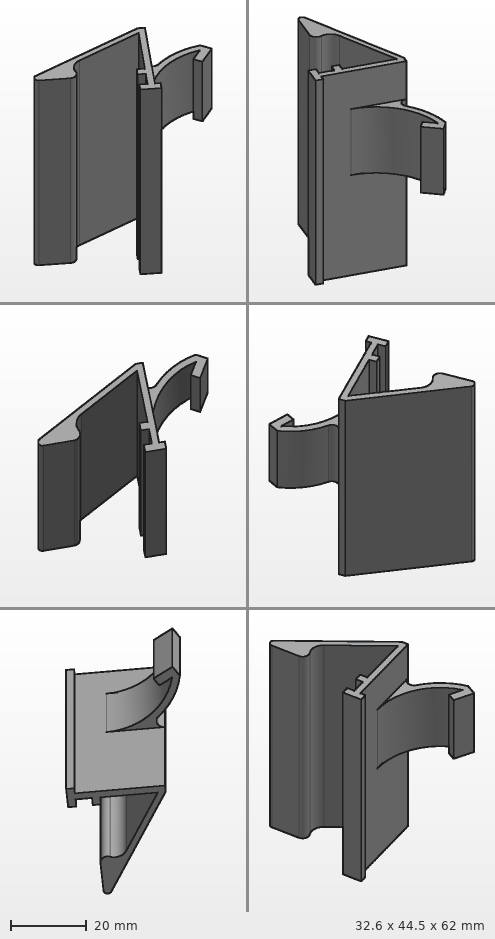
import cadquery as cq
import math

length = 62.0

arm_tilt = math.radians(30.2)
arm_thickness = 1.9
arm_start = -2.05
arm_end = 24.0
rib_start = 15.3
rib_size = 2.2
flange_start = arm_end - rib_size
flange_overhang = 1.55

leg_tilt = math.radians(29)
leg_thickness = 1.75
foot_slope = math.radians(30.5)
foot_neck = 22.7
heel_x = -6.15
heel_y = -23.5
neck_radius = 3.6
heel_radius = 1.9
toe_radius = 1.1

clip_bottom = 30.45
clip_height = 20.0
clip_inner_radius = 19.5
clip_thickness = 2.0
clip_tangent_at = 13.5
clip_root_radius = 1.9
hook_inner_x = 11.8
hook_outer_x = 14.4
hook_top = 15.1
hook_bottom = 9.0


def on_arm(along, outward):
    """Point at a distance down the arm and outward from its inner face."""
    return (
        along * math.sin(arm_tilt) + outward * math.cos(arm_tilt),
        -along * math.cos(arm_tilt) + outward * math.sin(arm_tilt),
    )


def on_leg(along, outward):
    """Point at a distance down the leg and outward from its inner face."""
    return (
        -along * math.sin(leg_tilt) - outward * math.cos(leg_tilt),
        -along * math.cos(leg_tilt) + outward * math.sin(leg_tilt),
    )


def on_circle(center, radius, angle):
    return (center[0] + radius * math.cos(angle), center[1] + radius * math.sin(angle))


def direction(start, end):
    """Angle from one point to another, between 0 and a full turn."""
    return math.atan2(end[1] - start[1], end[0] - start[0]) % math.tau


def arm_block(start, end, inner, outer):
    corners = [on_arm(start, inner), on_arm(end, inner), on_arm(end, outer), on_arm(start, outer)]
    return cq.Workplane("XY").polyline(corners).close().extrude(length)


def make_arm():
    web = arm_block(arm_start, arm_end, 0, arm_thickness)
    rib = arm_block(rib_start, rib_start + rib_size, -rib_size, arm_thickness)
    flange = arm_block(flange_start, arm_end, -rib_size, arm_thickness + flange_overhang)
    return web.union(rib).union(flange)


def make_leg():
    heel = (heel_x, heel_y)
    face_x, face_y = on_leg(0, leg_thickness)
    leg_slope = 1 / math.tan(leg_tilt)
    sole_slope = math.tan(foot_slope)
    toe_x = (heel_y - face_y + leg_slope * face_x - sole_slope * heel_x) / (leg_slope - sole_slope)
    toe = (toe_x, face_y + leg_slope * (toe_x - face_x))
    neck = on_leg(foot_neck, 0)
    outline = [(0, 0), neck, heel, toe, on_arm(arm_start, 0)]
    leg = cq.Workplane("XY").polyline(outline).close().extrude(length)
    for corner, radius in ((neck, neck_radius), (heel, heel_radius), (toe, toe_radius)):
        leg = leg.edges(cq.selectors.NearestToPointSelector((*corner, length / 2))).fillet(radius)
    return leg


def make_clip():
    center = on_arm(clip_tangent_at, arm_thickness + clip_inner_radius)
    outer_radius = clip_inner_radius + clip_thickness
    tangent_point = on_arm(clip_tangent_at, arm_thickness)
    inner_end_angle = math.pi - math.acos((center[0] - hook_inner_x) / clip_inner_radius)
    inner_end = on_circle(center, clip_inner_radius, inner_end_angle)
    inner_mid_angle = (direction(center, tangent_point) + inner_end_angle) / 2
    outer_end_angle = math.pi - math.asin((hook_top - center[1]) / outer_radius)
    outer_end = on_circle(center, outer_radius, outer_end_angle)

    root_outward = clip_inner_radius - clip_root_radius
    root_along = math.sqrt((outer_radius + clip_root_radius) ** 2 - root_outward**2)
    root_center = on_arm(clip_tangent_at - root_along, arm_thickness + clip_root_radius)
    root_start = on_arm(clip_tangent_at - root_along, arm_thickness)
    root_end_angle = direction(root_center, center)
    root_end = on_circle(root_center, clip_root_radius, root_end_angle)
    root_mid_angle = (direction(root_center, root_start) + root_end_angle) / 2
    outer_mid_angle = (direction(center, root_center) + outer_end_angle) / 2

    return (
        cq.Workplane("XY", origin=(0, 0, clip_bottom))
        .moveTo(*tangent_point)
        .threePointArc(on_circle(center, clip_inner_radius, inner_mid_angle), inner_end)
        .lineTo(hook_inner_x, hook_bottom)
        .lineTo(hook_outer_x, hook_bottom)
        .lineTo(hook_outer_x, hook_top)
        .lineTo(*outer_end)
        .threePointArc(on_circle(center, outer_radius, outer_mid_angle), root_end)
        .threePointArc(on_circle(root_center, clip_root_radius, root_mid_angle), root_start)
        .lineTo(*on_arm(clip_tangent_at - root_along, arm_thickness / 2))
        .lineTo(*on_arm(clip_tangent_at, arm_thickness / 2))
        .close()
        .extrude(clip_height)
    )


result = make_arm().union(make_leg()).union(make_clip())